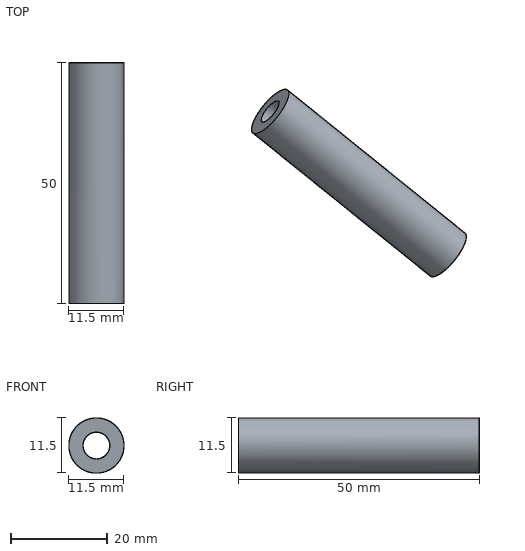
import cadquery as cq

length = 50.0
outer_diameter = 11.5
bore_diameter = 5.5

result = (
    cq.Workplane("XZ", origin=(0, length / 2, 0))
    .circle(outer_diameter / 2)
    .circle(bore_diameter / 2)
    .extrude(length)
)